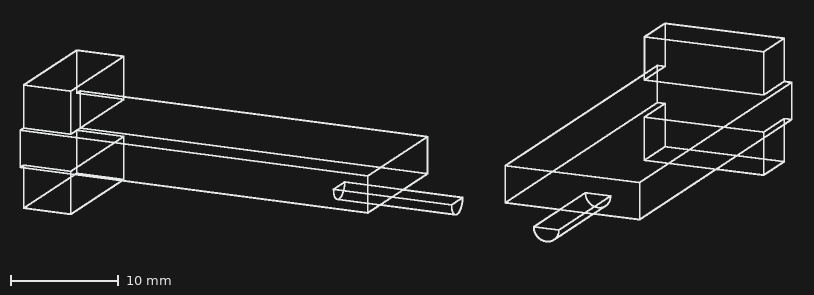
import cadquery as cq

total_length = 41.4
plate_length = 35.35
plate_width = 13.6
plate_thickness = 3.6
head_length = 4.8
head_width = 12.1
head_height = 11.95
pin_length = 12.0
pin_radius = 1.3

plate_underside = -plate_thickness / 2


def block_from_left_end(length, width, height):
    """Block starting at X = 0, centred on the X axis."""
    return cq.Workplane("XY").box(length, width, height, centered=(False, True, True))


def half_round_pin():
    """Half-round bar with its flat side up against the plate underside."""
    return (
        cq.Workplane("YZ", origin=(total_length - pin_length, 0, plate_underside))
        .moveTo(-pin_radius, 0)
        .threePointArc((0, -pin_radius), (pin_radius, 0))
        .close()
        .extrude(pin_length)
    )


plate = block_from_left_end(plate_length, plate_width, plate_thickness)
head = block_from_left_end(head_length, head_width, head_height)

result = plate.union(head).union(half_round_pin())